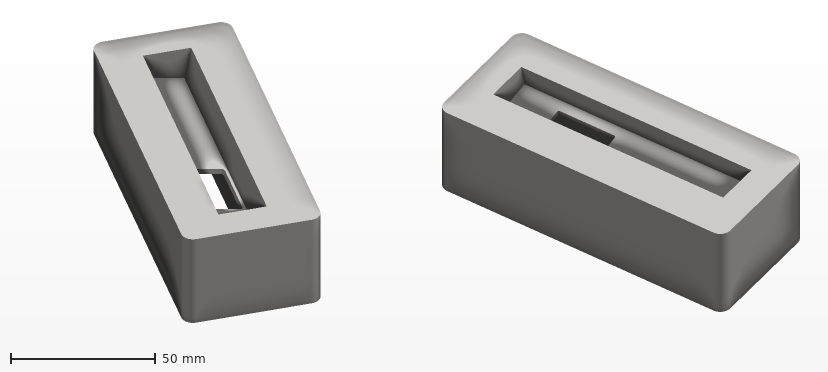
import cadquery as cq
import math

length, width, height = 120, 50.0, 36
corner_radius = 4.2

slot_length = 96.5
slot_front_y = -9.5
slot_back_y = 7.9
slot_depth = 12.6
back_wall_run = 2.5
lean = math.atan2(back_wall_run, slot_depth)
slot_thickness = (slot_back_y - slot_front_y) * math.cos(lean)

window_length = 24.2
window_width = 11.8
window_back_margin = 1.2
window_center_x = 19.2
floor_thickness = 2.0
window_corner_radius = 1.0


block = (
    cq.Workplane("XY")
    .box(length, width, height, centered=(True, True, False))
    .edges("|Z")
    .fillet(corner_radius)
)


def lean_into_place(shape):
    """Lean a shape whose origin is the slot's back floor edge, and move it there."""
    return shape.rotate((0, 0, 0), (1, 0, 0), -math.degrees(lean)).translate(
        (0, slot_back_y - back_wall_run, height - slot_depth)
    )


slot = lean_into_place(
    cq.Workplane("XY")
    .box(slot_length, slot_thickness, height, centered=(True, False, False))
    .translate((0, -slot_thickness, 0))
)

window = lean_into_place(
    cq.Workplane("XY")
    .box(window_length, window_width, 2 * floor_thickness)
    .edges("|Z")
    .fillet(window_corner_radius)
    .translate((window_center_x, -window_back_margin - window_width / 2, 0))
)

cavity_top = lean_into_place(
    cq.Workplane("XY")
    .box(length, 2 * width, height, centered=(True, True, False))
    .translate((0, 0, -floor_thickness))
)
cavity = (
    cq.Workplane("XY")
    .box(slot_length, slot_back_y - slot_front_y, height, centered=(True, False, False))
    .translate((0, slot_front_y, 0))
    .cut(cavity_top)
)

result = block.cut(cavity).cut(slot).cut(window)